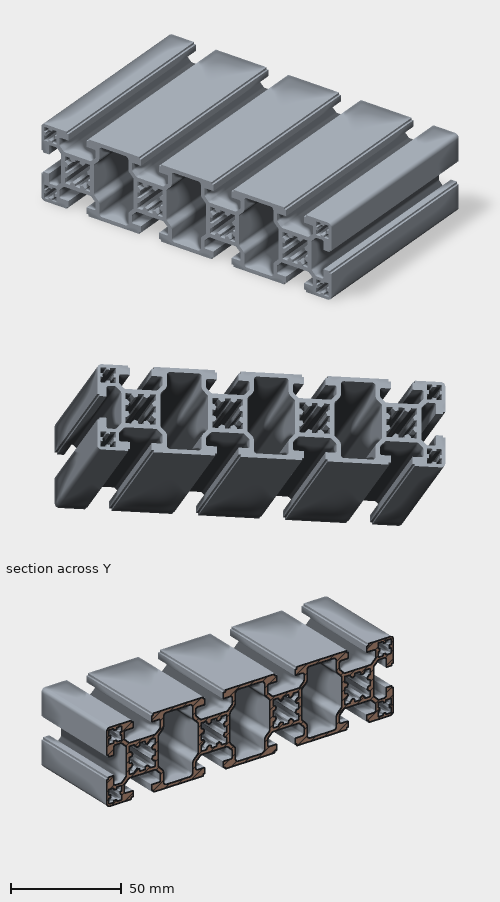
import cadquery as cq
import math

pitch = 40.0
cell_count = 4
length = 100.0
width = pitch * cell_count
height = pitch
corner_radius = 2.0

face = pitch / 2
opening_half = 5.0
mouth_half = 6.0
mouth_depth = 1.0
lip_inner = 15.7
slot_half = 10.0
slot_corner_radius = 0.8
slot_bend_radius = 1.2

wall = 2.0
core_half = 9.0
core_bore_half = core_half - wall

slot_web_offset = 1.6
chamber_web_offset = wall * math.sqrt(2) - slot_web_offset

skin = 2.0
chamber_top = face - skin
chamber_edge = slot_half + wall
chamber_corner_radius = 1.5
chamber_neck_radius = 2.5
chamber_waist_radius = 1.5

core_tip_radius = 5.9
core_rib_inner_x = 1.4
core_rib_tip_x = 2.9
core_rib_outer_x = 4.2

corner_bore_center = 15.0
corner_bore_half = 3.5
corner_tip_radius = 2.6
corner_rib_half = 0.9

cell_centers = [(i - (cell_count - 1) / 2) * pitch for i in range(cell_count)]
chamber_centers = [(a + b) / 2 for a, b in zip(cell_centers, cell_centers[1:])]


def prism(points):
    """Extrude a closed XZ outline over the full length, centred on Y."""
    return cq.Workplane("XZ").polyline(points).close().extrude(length / 2, both=True)


def box(half_x, half_z):
    """Full-length block centred on the origin."""
    return cq.Workplane("XY").box(2 * half_x, length, 2 * half_z)


def turned(body, angle):
    """Turn a body about the Y axis through the origin."""
    return body.rotate((0, 0, 0), (0, 1, 0), angle)


def round_edge(body, x, z, radius):
    """Fillet the lengthwise edge of a body that passes through (x, z)."""
    edge = body.edges("|Y").edges(cq.selectors.NearestToPointSelector((x, 0, z)))
    return edge.fillet(radius)


def t_slot():
    """T-slot opening through the +Z face of a cell centred on the origin."""
    right_side = [
        (mouth_half, face),
        (mouth_half, face - mouth_depth),
        (opening_half, face - mouth_depth),
        (opening_half, lip_inner),
        (slot_half, lip_inner),
        (slot_half, slot_half + slot_web_offset),
        (core_half - slot_web_offset, core_half),
    ]
    left_side = [(-x, z) for x, z in reversed(right_side)]
    slot = prism(right_side + left_side)
    for x, z in right_side[-3:] + left_side[:3]:
        radius = slot_corner_radius if z == lip_inner else slot_bend_radius
        slot = round_edge(slot, x, z, radius)
    return slot


def chamber():
    """Hollow between two neighbouring cells, centred on the origin."""
    waist_x = pitch / 2 - core_half
    waist_z = core_half - chamber_web_offset
    neck_x = pitch / 2 - chamber_edge
    neck_z = chamber_edge - chamber_web_offset
    edge_radius = {
        waist_z: chamber_waist_radius,
        neck_z: chamber_neck_radius,
        chamber_top: chamber_corner_radius,
    }
    upper_right = [(waist_x, waist_z), (neck_x, neck_z), (neck_x, chamber_top)]
    upper_left = [(-x, z) for x, z in reversed(upper_right)]
    upper = upper_right + upper_left
    lower = [(-x, -z) for x, z in upper]
    hollow = prism(upper + lower)
    for x, z in upper + lower:
        hollow = round_edge(hollow, x, z, edge_radius[abs(z)])
    return hollow


def circle_height(radius, x):
    """Height above the centre of a circle at sideways distance x."""
    return math.sqrt(radius**2 - x**2)


def core_rib():
    """Right-hand rib of the pair on the upper side of a core bore."""
    mid_x = (core_rib_inner_x + core_rib_tip_x) / 2
    inner_z = circle_height(core_tip_radius, core_rib_inner_x)
    mid_z = circle_height(core_tip_radius, mid_x)
    tip_z = circle_height(core_tip_radius, core_rib_tip_x)
    return (
        cq.Workplane("XZ")
        .moveTo(core_rib_inner_x, core_bore_half)
        .lineTo(core_rib_inner_x, inner_z)
        .threePointArc((mid_x, mid_z), (core_rib_tip_x, tip_z))
        .lineTo(core_rib_outer_x, tip_z + core_rib_outer_x - core_rib_tip_x)
        .lineTo(core_rib_outer_x, core_bore_half)
        .close()
        .extrude(length / 2, both=True)
    )


def corner_rib():
    """Rib in the middle of the upper side of a corner bore."""
    edge_z = circle_height(corner_tip_radius, corner_rib_half)
    return (
        cq.Workplane("XZ")
        .moveTo(-corner_rib_half, corner_bore_half)
        .lineTo(-corner_rib_half, edge_z)
        .threePointArc((0, corner_tip_radius), (corner_rib_half, edge_z))
        .lineTo(corner_rib_half, corner_bore_half)
        .close()
        .extrude(length / 2, both=True)
    )


def ribbed_bore(half, ribs):
    """Square bore with the same ribs left standing on all four sides."""
    bore = box(half, half)
    for angle in (0, 90, 180, 270):
        for rib in ribs:
            bore = bore.cut(turned(rib, angle))
    return bore


def cut_slots(body):
    slot = t_slot()
    for x in cell_centers:
        for angle in (0, 180):
            body = body.cut(turned(slot, angle).translate((x, 0, 0)))
    body = body.cut(turned(slot, -90).translate((cell_centers[0], 0, 0)))
    return body.cut(turned(slot, 90).translate((cell_centers[-1], 0, 0)))


def cut_chambers(body):
    hollow = chamber()
    for x in chamber_centers:
        body = body.cut(hollow.translate((x, 0, 0)))
    return body


def cut_core_bores(body):
    rib = core_rib()
    bore = ribbed_bore(core_bore_half, (rib, rib.mirror("YZ")))
    for x in cell_centers:
        body = body.cut(bore.translate((x, 0, 0)))
    return body


def cut_corner_bores(body):
    bore = ribbed_bore(corner_bore_half, (corner_rib(),))
    bore_x = cell_centers[-1] + corner_bore_center
    for x in (-bore_x, bore_x):
        for z in (-corner_bore_center, corner_bore_center):
            body = body.cut(bore.translate((x, 0, z)))
    return body


profile = box(width / 2, height / 2).edges("|Y").fillet(corner_radius)
profile = cut_slots(profile)
profile = cut_chambers(profile)
profile = cut_core_bores(profile)
result = cut_corner_bores(profile)